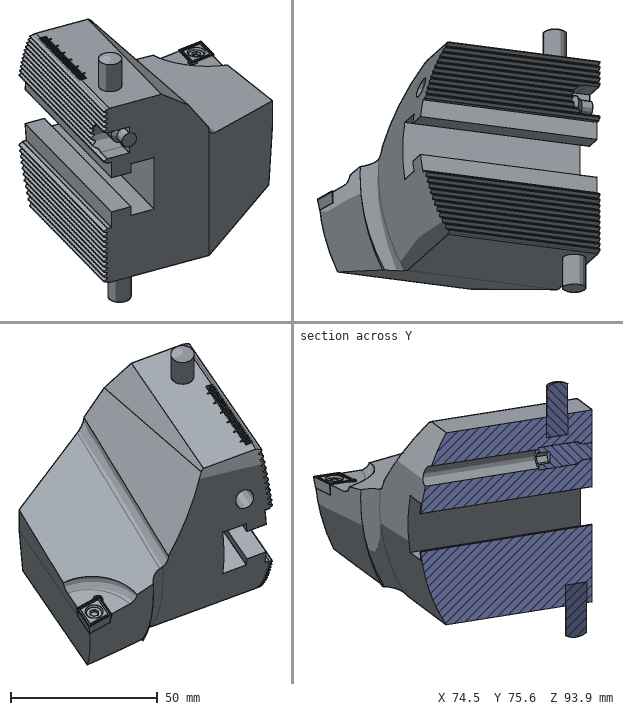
import cadquery as cq
import math



def tan_deg(angle):
    return math.tan(math.radians(angle))


def sin_deg(angle):
    return math.sin(math.radians(angle))


def cos_deg(angle):
    return math.cos(math.radians(angle))


def point_at(center, radius, angle):
    """Point on a circle, at an angle in degrees from the first axis."""
    return (center[0] + radius * cos_deg(angle), center[1] + radius * sin_deg(angle))


CLEAR = 9.4

HALF_HEIGHT = 34.9
EDGE_CHAMFER_Y = 2.1
EDGE_CHAMFER_Z = 0.4
EDGE_FLANK_Y = 1.1
EDGE_FLANK_Z = 0.5
TOP_FLAT_END_Y = 22.1
TOP_SLOPE = 35.0
BOTTOM_FLAT_END_Y = 40.7
BOTTOM_SLOPE = 15.0
NOSE_END_Y = 75.0
END_FACE_RELIEF = 5.0

SIDE_RADIUS = 66.0
BODY_LENGTH = 64.8
SIDE_AXIS_X = SIDE_RADIUS - BODY_LENGTH
NECK_START_Y = 42.5
NECK_RADIUS = 6.0
SHOULDER_HEIGHT = 4.4
SHOULDER_Y = NECK_START_Y + math.sqrt(NECK_RADIUS**2 - (NECK_RADIUS - SHOULDER_HEIGHT) ** 2)
NOSE_LEAN = 10.0

FACE_TILT = 7.0
BACK_WALL_Y = 40.2
BACK_WALL_Z = 16.6
BACK_SLOPE = 55.0
FACE_FILLET = 4.0
SIDE_CUT_START_Y = 40.3
SIDE_CUT_ANGLE = 30.0

NECK_HALF_WIDTH = 6.9
SLOT_HALF_WIDTH = 10.3
LAND_Y = 2.9
SLOT_LIP_Y = 10.3
SLOT_FLOOR_Y = 19.25
TOOTH_COUNT = 10
TOOTH_ROW_HEIGHT = 20.0
TOOTH_PITCH = TOOTH_ROW_HEIGHT / TOOTH_COUNT
TOOTH_DEPTH = 1.4
GROOVE_HALF_WIDTH = 0.8
GROOVE_ROOT_HALF_WIDTH = 0.1
LAND_HALF_WIDTH = 13.05

TICK_PITCH = TOOTH_PITCH / 2
TICK_COUNT = 31
FIRST_TICK_X = -51.3
TICK_END_Y = 4.2
LONG_TICK_END_Y = 5.3
TICK_WIDTH = 0.3
TICK_DEPTH = 0.2
LONG_TICK_EVERY = 5
FIRST_LONG_TICK = 2

PIN_DIAMETER = 8.0
PIN_Y = 9.1
PIN_DOME_HEIGHT = 1.2
PIN_TIP_Z = 46.95
PIN_DEPTH = 7.5
UPPER_PIN_X = -13.05
LOWER_PIN_X = -6.0

SCREW_Y = 9.8
SCREW_Z = 20.1
SCREW_DIAMETER = 8.0
SCREW_LENGTH = 20.0
DOG_DIAMETER = 5.5
DOG_LENGTH = 3.9
DOG_CONE_LENGTH = 1.7
HEX_FLATS = 4.0
HEX_DEPTH = 4.0
HEX_TURN = 30.0
KEY_BORE_DIAMETER = 6.8
WINDOW_WIDTH = 10.4
WINDOW_LENGTH = 10.0

INSERT_CORNER_X = -74.5
INSERT_CORNER_Y = 75.6
INSERT_HEIGHT = 9.6
INSERT_WIDTH = INSERT_HEIGHT / cos_deg(NOSE_LEAN)
INSERT_SKEW = INSERT_HEIGHT * tan_deg(NOSE_LEAN)
INSERT_CENTER_X = INSERT_CORNER_X + (INSERT_WIDTH + INSERT_SKEW) / 2
INSERT_CENTER_Y = INSERT_CORNER_Y - INSERT_HEIGHT / 2
INSERT_TOP_Z = 0.2
INSERT_THICKNESS = 4.1
INSERT_BOTTOM_Z = INSERT_TOP_Z - INSERT_THICKNESS
INSERT_RELIEF = 7.0
INSERT_BORE = 4.4
COUNTERSINK_DIAMETER = 6.1
COUNTERSINK_HALF_ANGLE = 30.0
RIM_WIDTH = 0.4
BREAKER_WIDTH = 0.7
BREAKER_DEPTH = 0.2
CORNER_RELIEF_DIAMETER = 3.3
CORNER_RELIEF_INSET = 0.9

HEAD_DIAMETER = 5.3
SHANK_DIAMETER = 4.0
SHANK_DEPTH = 7.5
INSERT_HEX_FLATS = 2.8
INSERT_HEX_DEPTH = 1.1

CHIP_FLOOR_RADIUS = 17.6
CHIP_FILLET = 3.4
CHIP_FLOOR_Z = 0.0


def side_outline_block():
    """Prism along X with the outline of the flats, slopes and end face."""
    relief_run = tan_deg(END_FACE_RELIEF)
    slope_rise = tan_deg(BOTTOM_SLOPE)
    slope_length_y = NOSE_END_Y - BOTTOM_FLAT_END_Y
    height_to_slope = INSERT_BOTTOM_Z + HALF_HEIGHT - slope_length_y * slope_rise
    relief_height = height_to_slope / (1 - relief_run * slope_rise)
    flank_end_z = HALF_HEIGHT - EDGE_CHAMFER_Z
    flank_start_z = flank_end_z - EDGE_FLANK_Z
    slope_top_z = HALF_HEIGHT - (BACK_WALL_Y - TOP_FLAT_END_Y) * tan_deg(TOP_SLOPE)
    return (
        cq.Workplane("YZ")
        .moveTo(0, -flank_start_z)
        .lineTo(EDGE_FLANK_Y, -flank_end_z)
        .lineTo(EDGE_CHAMFER_Y, -HALF_HEIGHT)
        .lineTo(BOTTOM_FLAT_END_Y, -HALF_HEIGHT)
        .lineTo(NOSE_END_Y - relief_height * relief_run, INSERT_BOTTOM_Z - relief_height)
        .lineTo(NOSE_END_Y, INSERT_BOTTOM_Z)
        .lineTo(NOSE_END_Y, slope_top_z)
        .lineTo(BACK_WALL_Y, slope_top_z)
        .lineTo(TOP_FLAT_END_Y, HALF_HEIGHT)
        .lineTo(EDGE_CHAMFER_Y, HALF_HEIGHT)
        .lineTo(EDGE_FLANK_Y, flank_end_z)
        .lineTo(0, flank_start_z)
        .close()
        .extrude(-2 * SIDE_RADIUS)
    )


def curved_side():
    """Round envelope: a cylinder along Y, a concave neck, and a leaning cylinder for the nose."""
    neck_center = (SIDE_RADIUS + NECK_RADIUS, NECK_START_Y)
    shoulder_angle = 180 - math.degrees(math.asin((SHOULDER_Y - NECK_START_Y) / NECK_RADIUS))
    shoulder = (SIDE_RADIUS + SHOULDER_HEIGHT, SHOULDER_Y)
    body = (
        cq.Workplane("XY")
        .lineTo(SIDE_RADIUS, 0)
        .lineTo(SIDE_RADIUS, NECK_START_Y)
        .threePointArc(point_at(neck_center, NECK_RADIUS, (180 + shoulder_angle) / 2), shoulder)
        .lineTo(0, SHOULDER_Y)
        .close()
        .revolve(360, (0, 0, 0), (0, 1, 0))
        .translate((SIDE_AXIS_X, 0, 0))
    )
    lean_direction = cq.Vector(-sin_deg(NOSE_LEAN), cos_deg(NOSE_LEAN), 0)
    shoulder_x = SIDE_AXIS_X - SIDE_RADIUS - SHOULDER_HEIGHT
    nose_axis_point = cq.Vector(shoulder_x + SIDE_RADIUS / cos_deg(NOSE_LEAN), SHOULDER_Y, 0)
    nose_start = nose_axis_point - lean_direction * SIDE_RADIUS
    nose = cq.Workplane(cq.Solid.makeCylinder(SIDE_RADIUS, 3 * SIDE_RADIUS, nose_start, lean_direction))
    nose_zone = cq.Workplane("XY").box(
        4 * SIDE_RADIUS, NOSE_END_Y - SHOULDER_Y, 4 * SIDE_RADIUS, centered=(True, False, True)
    )
    return body.union(nose.intersect(nose_zone.translate((0, SHOULDER_Y, 0))))


def tilted_face_cutter():
    """Everything above the tilted nose face, its back wall and the slope behind it."""
    fillet_center = (BACK_WALL_Y + FACE_FILLET, BACK_WALL_Z)
    fillet_end = point_at(fillet_center, FACE_FILLET, 270 - FACE_TILT)
    far_y = NOSE_END_Y + CLEAR
    sky_z = 2 * HALF_HEIGHT
    slope_start_y = BACK_WALL_Y - (sky_z - BACK_WALL_Z) / tan_deg(BACK_SLOPE)
    section = (
        cq.Workplane("YZ")
        .moveTo(BACK_WALL_Y, BACK_WALL_Z)
        .threePointArc(point_at(fillet_center, FACE_FILLET, 225 - FACE_TILT / 2), fillet_end)
        .lineTo(far_y, fillet_end[1] - (far_y - fillet_end[0]) * tan_deg(FACE_TILT))
        .lineTo(far_y, sky_z)
        .lineTo(slope_start_y, sky_z)
        .close()
    )
    sweep_length = 2 * SIDE_RADIUS
    sweep = cq.Vector(-sweep_length, 0, -sweep_length * tan_deg(FACE_TILT))
    return cq.Workplane(cq.Solid.extrudeLinear(section.wires().val(), [], sweep))


def end_corner_cutter():
    """Slanting cut across the corner between the end X = 0 and the nose."""
    cut_length_y = NOSE_END_Y + CLEAR - SIDE_CUT_START_Y
    return (
        cq.Workplane("XY")
        .workplane(offset=-2 * HALF_HEIGHT)
        .moveTo(0, SIDE_CUT_START_Y)
        .lineTo(-cut_length_y * tan_deg(SIDE_CUT_ANGLE), SIDE_CUT_START_Y + cut_length_y)
        .lineTo(0, SIDE_CUT_START_Y + cut_length_y)
        .close()
        .extrude(4 * HALF_HEIGHT)
    )


def slot_cutter():
    """T-slot along X with a shallow land on both sides of its mouth."""
    upper_half = [
        (-CLEAR, LAND_HALF_WIDTH),
        (LAND_Y, LAND_HALF_WIDTH),
        (LAND_Y, NECK_HALF_WIDTH),
        (SLOT_LIP_Y, NECK_HALF_WIDTH),
        (SLOT_LIP_Y, SLOT_HALF_WIDTH),
        (SLOT_FLOOR_Y, SLOT_HALF_WIDTH),
    ]
    lower_half = [(y, -z) for y, z in reversed(upper_half)]
    return cq.Workplane("YZ").polyline(upper_half + lower_half).close().extrude(-2 * SIDE_RADIUS)


def serration_groove(z):
    """One V-shaped groove along X between two teeth, narrow at its root."""
    section = [
        (0, z - GROOVE_HALF_WIDTH),
        (TOOTH_DEPTH, z - GROOVE_ROOT_HALF_WIDTH),
        (TOOTH_DEPTH, z + GROOVE_ROOT_HALF_WIDTH),
        (0, z + GROOVE_HALF_WIDTH),
    ]
    return cq.Workplane("YZ").polyline(section).close().extrude(-2 * SIDE_RADIUS)


def tick_groove(index):
    """One shallow graduation groove at the front edge of the upper flat, longer at every fifth."""
    is_long = index % LONG_TICK_EVERY == FIRST_LONG_TICK
    end_y = LONG_TICK_END_Y if is_long else TICK_END_Y
    tick = cq.Workplane("XY").box(TICK_WIDTH, end_y, 2 * TICK_DEPTH, centered=(True, False, True))
    return tick.translate((FIRST_TICK_X + index * TICK_PITCH, 0, HALF_HEIGHT))


def window_cutter():
    """Round-ended window in the serrated face, open at X = 0, down to the screw axis."""
    radius = WINDOW_WIDTH / 2
    center_x = radius - WINDOW_LENGTH
    return (
        cq.Workplane("XZ")
        .moveTo(CLEAR, SCREW_Z - radius)
        .lineTo(center_x, SCREW_Z - radius)
        .threePointArc((-WINDOW_LENGTH, SCREW_Z), (center_x, SCREW_Z + radius))
        .lineTo(CLEAR, SCREW_Z + radius)
        .close()
        .extrude(-SCREW_Y)
    )


def adjusting_screw_blank():
    """Threaded length, cone and dog point along X, ending flush with X = 0."""
    cone_end_x = -DOG_LENGTH
    thread_end_x = cone_end_x - DOG_CONE_LENGTH
    return (
        cq.Workplane("XY")
        .moveTo(-SCREW_LENGTH, 0)
        .lineTo(-SCREW_LENGTH, SCREW_DIAMETER / 2)
        .lineTo(thread_end_x, SCREW_DIAMETER / 2)
        .lineTo(cone_end_x, DOG_DIAMETER / 2)
        .lineTo(0, DOG_DIAMETER / 2)
        .lineTo(0, 0)
        .close()
        .revolve(360, (0, 0, 0), (1, 0, 0))
        .translate((0, SCREW_Y, SCREW_Z))
    )


def make_adjusting_screw():
    """Adjusting screw with a hexagon socket in its inner end."""
    socket = (
        cq.Workplane("YZ")
        .polygon(6, HEX_FLATS, circumscribed=True)
        .extrude(HEX_DEPTH)
        .rotate((0, 0, 0), (1, 0, 0), HEX_TURN)
        .translate((-SCREW_LENGTH, SCREW_Y, SCREW_Z))
    )
    return adjusting_screw_blank().cut(socket)


def key_bore():
    """Bore that reaches the screw's socket from the curved side."""
    return (
        cq.Workplane("YZ")
        .center(SCREW_Y, SCREW_Z)
        .circle(KEY_BORE_DIAMETER / 2)
        .extrude(-BODY_LENGTH)
        .translate((-SCREW_LENGTH, 0, 0))
    )


def make_pin(x, side):
    """Domed pin standing in a blind hole; side is 1 for the top and -1 for the underside."""
    radius = PIN_DIAMETER / 2
    foot_z = HALF_HEIGHT - PIN_DEPTH
    shoulder_z = PIN_TIP_Z - PIN_DOME_HEIGHT
    dome_radius = (radius**2 + PIN_DOME_HEIGHT**2) / (2 * PIN_DOME_HEIGHT)
    dome_half_angle = math.degrees(math.asin(radius / dome_radius))
    dome_middle = point_at((0, PIN_TIP_Z - dome_radius), dome_radius, 90 - dome_half_angle / 2)
    pin = (
        cq.Workplane("XZ")
        .moveTo(0, foot_z)
        .lineTo(radius, foot_z)
        .lineTo(radius, shoulder_z)
        .threePointArc(dome_middle, (0, PIN_TIP_Z))
        .close()
        .revolve(360, (0, 0, 0), (0, 1, 0))
    )
    if side < 0:
        pin = pin.mirror("XY")
    return pin.translate((x, PIN_Y, 0))


def insert_rhombus(z, inset):
    """Outline of the insert at a height, moved in by an inset on all four sides."""
    side_shift = inset / cos_deg(NOSE_LEAN)
    back_y = INSERT_CORNER_Y - inset
    front_y = INSERT_CORNER_Y - INSERT_HEIGHT + inset

    def left_x(y):
        return INSERT_CORNER_X + (INSERT_CORNER_Y - y) * tan_deg(NOSE_LEAN) + side_shift

    width = INSERT_WIDTH - 2 * side_shift
    corners = [
        (left_x(back_y), back_y),
        (left_x(back_y) + width, back_y),
        (left_x(front_y) + width, front_y),
        (left_x(front_y), front_y),
    ]
    return cq.Workplane("XY").workplane(offset=z).polyline(corners).close()


def insert_blank():
    """Rhombic block whose four flanks lean inward toward the seat."""
    inset = INSERT_THICKNESS * tan_deg(INSERT_RELIEF)
    top = insert_rhombus(INSERT_TOP_Z, 0).wires().val()
    bottom = insert_rhombus(INSERT_BOTTOM_Z, inset).wires().val()
    return cq.Workplane(cq.Solid.makeLoft([bottom, top], True))


def turned_about_insert_axis(half_section):
    """Solid of revolution about the insert's axis from (radius, z) points."""
    return (
        cq.Workplane("XZ")
        .polyline(half_section)
        .close()
        .revolve(360, (0, 0, 0), (0, 1, 0))
        .translate((INSERT_CENTER_X, INSERT_CENTER_Y, 0))
    )


def countersink_drop(diameter):
    """Depth below the insert's top at which the countersink has a given diameter."""
    return (COUNTERSINK_DIAMETER - diameter) / 2 / tan_deg(COUNTERSINK_HALF_ANGLE)


def make_insert():
    """Insert with a countersunk bore and a chip-breaker groove inside its rim."""
    cone_end_z = INSERT_TOP_Z - countersink_drop(INSERT_BORE)
    bore = turned_about_insert_axis(
        [
            (0, INSERT_BOTTOM_Z),
            (INSERT_BORE / 2, INSERT_BOTTOM_Z),
            (INSERT_BORE / 2, cone_end_z),
            (COUNTERSINK_DIAMETER / 2, INSERT_TOP_Z),
            (0, INSERT_TOP_Z),
        ]
    )
    groove_floor_z = INSERT_TOP_Z - BREAKER_DEPTH
    groove = insert_rhombus(groove_floor_z, RIM_WIDTH).extrude(BREAKER_DEPTH)
    island = insert_rhombus(groove_floor_z, RIM_WIDTH + BREAKER_WIDTH).extrude(BREAKER_DEPTH)
    return insert_blank().cut(groove.cut(island)).cut(bore)


def insert_screw_blank():
    """Countersunk screw whose cone sits on the countersink of the insert."""
    head_z = INSERT_TOP_Z - countersink_drop(HEAD_DIAMETER)
    shank_z = INSERT_TOP_Z - countersink_drop(SHANK_DIAMETER)
    tip_z = INSERT_BOTTOM_Z - SHANK_DEPTH
    return turned_about_insert_axis(
        [
            (0, tip_z),
            (SHANK_DIAMETER / 2, tip_z),
            (SHANK_DIAMETER / 2, shank_z),
            (HEAD_DIAMETER / 2, head_z),
            (0, head_z),
        ]
    )


def make_insert_screw():
    """Insert screw with a hexagon socket in its head."""
    head_z = INSERT_TOP_Z - countersink_drop(HEAD_DIAMETER)
    socket = (
        cq.Workplane("XY")
        .polygon(6, INSERT_HEX_FLATS, circumscribed=True)
        .extrude(INSERT_HEX_DEPTH)
        .translate((INSERT_CENTER_X, INSERT_CENTER_Y, head_z - INSERT_HEX_DEPTH))
    )
    return insert_screw_blank().cut(socket)


def chip_pocket_cutter():
    """Round pocket about the cutting corner, with a concave wall rising from its flat floor."""
    outer_radius = CHIP_FLOOR_RADIUS + CHIP_FILLET
    fillet_top_z = CHIP_FLOOR_Z + CHIP_FILLET
    fillet_middle = point_at((CHIP_FLOOR_RADIUS, fillet_top_z), CHIP_FILLET, -45)
    return (
        cq.Workplane("XZ")
        .moveTo(0, CHIP_FLOOR_Z)
        .lineTo(CHIP_FLOOR_RADIUS, CHIP_FLOOR_Z)
        .threePointArc(fillet_middle, (outer_radius, fillet_top_z))
        .lineTo(outer_radius, fillet_top_z + CLEAR)
        .lineTo(0, fillet_top_z + CLEAR)
        .close()
        .revolve(360, (0, 0, 0), (0, 1, 0))
        .translate((INSERT_CORNER_X, INSERT_CORNER_Y, 0))
    )


def corner_relief_cutter():
    """Small round clearance at the inner corner of the insert's seat."""
    corner_x = INSERT_CORNER_X + INSERT_WIDTH + INSERT_SKEW
    return (
        cq.Workplane("XY")
        .workplane(offset=INSERT_BOTTOM_Z)
        .center(corner_x - CORNER_RELIEF_INSET, INSERT_CORNER_Y - INSERT_HEIGHT + CORNER_RELIEF_INSET)
        .circle(CORNER_RELIEF_DIAMETER / 2)
        .extrude(INSERT_THICKNESS)
    )


def make_housing(pins):
    """Housing with the pockets, grooves and the seats of all the other bodies."""
    housing = side_outline_block().intersect(curved_side())
    housing = housing.cut(end_corner_cutter())
    housing = housing.cut(tilted_face_cutter())
    housing = housing.cut(chip_pocket_cutter())
    housing = housing.cut(insert_blank())
    housing = housing.cut(corner_relief_cutter())
    housing = housing.cut(insert_screw_blank())
    housing = housing.cut(slot_cutter())
    for side in (-1, 1):
        for index in range(TOOTH_COUNT + 1):
            housing = housing.cut(serration_groove(side * (LAND_HALF_WIDTH + index * TOOTH_PITCH)))
    for index in range(TICK_COUNT):
        housing = housing.cut(tick_groove(index))
    housing = housing.cut(window_cutter())
    housing = housing.cut(adjusting_screw_blank())
    housing = housing.cut(key_bore())
    for pin in pins:
        housing = housing.cut(pin)
    return housing


guide_pins = [make_pin(x, side) for x, side in ((UPPER_PIN_X, 1), (LOWER_PIN_X, -1))]
adjusting_screw = make_adjusting_screw()
insert = make_insert()
insert_screw = make_insert_screw()
housing = make_housing(guide_pins)

result = cq.Compound.makeCompound(
    [
        housing.val(),
        *[pin.val() for pin in guide_pins],
        adjusting_screw.val(),
        insert.val(),
        insert_screw.val(),
    ]
)